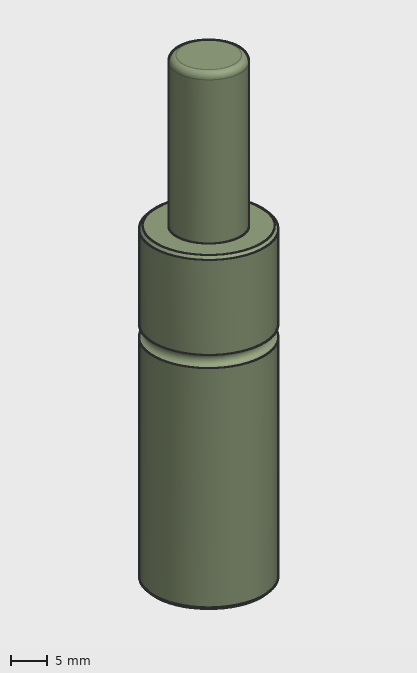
import cadquery as cq

total_height = 80.0
body_diameter = 19.0
body_height = 54.0
body_chamfer = 0.5
pin_diameter = 11.0
pin_fillet = 1.0
groove_width = 2.0
groove_height = 38.0


def make_body():
    """Cylinder standing on Z = 0 with a chamfer on each rim."""
    body = cq.Workplane("XY").circle(body_diameter / 2).extrude(body_height)
    return body.faces("<Z or >Z").edges().chamfer(body_chamfer)


def make_pin():
    """Slimmer pin on top of the body, rounded at its tip."""
    pin_length = total_height - body_height
    pin = cq.Workplane("XY").workplane(offset=body_height).circle(pin_diameter / 2).extrude(pin_length)
    return pin.faces(">Z").edges().fillet(pin_fillet)


def make_groove():
    """Half-round ring cutter, centred on the body's outer surface."""
    return (
        cq.Workplane("XZ")
        .center(body_diameter / 2, groove_height)
        .circle(groove_width / 2)
        .revolve(360, (-body_diameter / 2, 0), (-body_diameter / 2, 1))
    )


result = make_body().union(make_pin()).cut(make_groove())